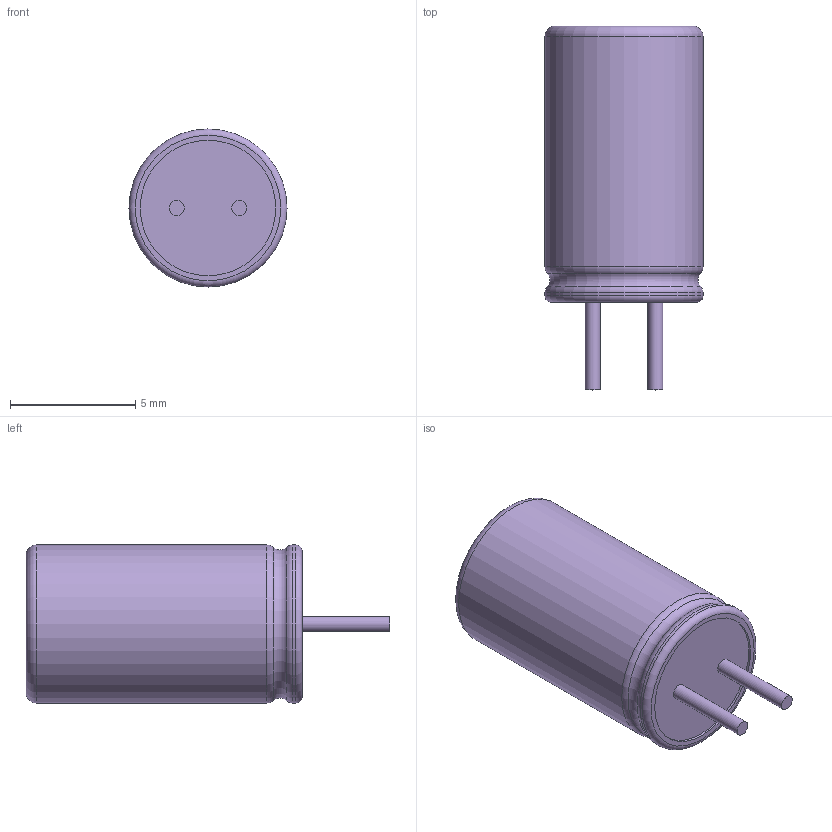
import cadquery as cq
import math

can_diameter = 6.3
can_length = 11.0
top_fillet = 0.4
base_fillet = 0.25

groove_center = 0.89
groove_width = 1.04
groove_depth = 0.2

seal_diameter = 5.4
seal_recess = 0.1

lead_diameter = 0.6
lead_pitch = 2.5
lead_length = 3.5

can_radius = can_diameter / 2


def make_can():
    """Revolved can with rounded ends and a crimp groove of tangent arcs."""
    half_width = groove_width / 2
    flank_angle = 2 * math.atan(groove_depth / half_width)
    arc_radius = half_width / (2 * math.sin(flank_angle))
    crest_mid_drop = arc_radius * (1 - math.cos(flank_angle / 2))
    crest_mid_step = arc_radius * math.sin(flank_angle / 2)

    groove_start = groove_center - half_width
    groove_end = groove_center + half_width
    inflection_radius = can_radius - groove_depth / 2
    crest_mid_radius = can_radius - crest_mid_drop

    profile = (
        cq.Workplane("XY")
        .lineTo(can_radius, 0)
        .lineTo(can_radius, groove_start)
        .threePointArc(
            (crest_mid_radius, groove_start + crest_mid_step),
            (inflection_radius, groove_center - half_width / 2),
        )
        .threePointArc(
            (can_radius - groove_depth, groove_center),
            (inflection_radius, groove_center + half_width / 2),
        )
        .threePointArc(
            (crest_mid_radius, groove_end - crest_mid_step),
            (can_radius, groove_end),
        )
        .lineTo(can_radius, can_length)
        .lineTo(0, can_length)
        .close()
    )
    can = profile.revolve(360, (0, 0, 0), (0, 1, 0))
    return can.faces(">Y").edges().fillet(top_fillet).faces("<Y").edges().fillet(base_fillet)


def make_seal_recess():
    """Shallow round recess in the base that exposes the seal."""
    return cq.Workplane("XZ").circle(seal_diameter / 2).extrude(-seal_recess)


def make_leads():
    """Two round leads running from the seal face to their free ends."""
    lead_positions = [(-lead_pitch / 2, 0), (lead_pitch / 2, 0)]
    return (
        cq.Workplane("XZ", origin=(0, seal_recess, 0))
        .pushPoints(lead_positions)
        .circle(lead_diameter / 2)
        .extrude(lead_length + seal_recess)
    )


result = make_can().cut(make_seal_recess()).union(make_leads())